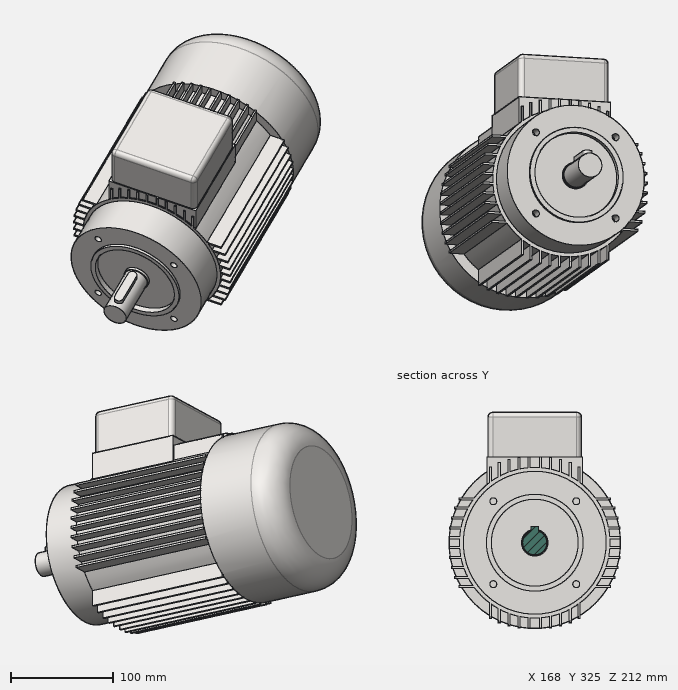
import cadquery as cq


total_length = 325.0
spigot_face = 47.0
flange_face = 50.0
housing_front = 87.8
cowl_front = 238.5

cowl_diameter = 168.0
cowl_rounding = 27.5
housing_diameter = 147.5
flange_diameter = 140.0
spigot_diameter = 95.0
spigot_recess_diameter = 85.0
spigot_recess_depth = 6.0
shaft_diameter = 24.0
collar_diameter = 26.0
collar_height = 3.0

key_width = 9.0
key_length = 40.5
key_tip_gap = 5.0
key_top = 16.0

bolt_hole_diameter = 6.8
bolt_spacing = 81.2
bolt_hole_depth = 15.0

fin_thickness = 2.0
fin_reaches = (cowl_diameter / 2, 83.5, 81.5, 78.5, 74.5)
side_fin_offsets = (5.0, 14.5, 24.5, 34.0, 43.0)
upright_fin_offsets = (5.5, 15.3, 25.0, 34.8, 43.5)

overall_height = 212.0
pedestal_size = 93.5
pedestal_setback = 1.3
pedestal_top = cowl_diameter / 2
box_size = 91.5
box_rounding = 5.0
box_top = overall_height - cowl_diameter / 2


def axial_cylinder(diameter, start, end):
    """Cylinder on the motor axis between two Y stations."""
    return (
        cq.Workplane("XZ", origin=(0, start, 0))
        .circle(diameter / 2)
        .extrude(start - end)
    )


def housing_block(width, height, center_x, center_z):
    """Rectangular bar that runs the full length of the finned housing."""
    return (
        cq.Workplane("XZ", origin=(0, housing_front, 0))
        .center(center_x, center_z)
        .rect(width, height)
        .extrude(housing_front - cowl_front)
    )


def add_fins(body):
    """Parallel fins on both sides, on top and underneath the housing."""
    for reach, offset in zip(fin_reaches, side_fin_offsets):
        for level in (-offset, offset):
            body = body.union(housing_block(2 * reach, fin_thickness, 0, level))
    for reach, offset in zip(fin_reaches, upright_fin_offsets):
        for side in (-offset, offset):
            body = body.union(housing_block(fin_thickness, 2 * reach, side, 0))
    return body


def terminal_box():
    """Rounded box on a square pedestal that is sunk into the housing."""
    center_y = housing_front + pedestal_setback + pedestal_size / 2
    pedestal = (
        cq.Workplane("XY", origin=(0, center_y, 0))
        .rect(pedestal_size, pedestal_size)
        .extrude(pedestal_top)
    )
    box = (
        cq.Workplane("XY", origin=(0, center_y, pedestal_top))
        .rect(box_size, box_size)
        .extrude(box_top - pedestal_top)
        .edges("|Z or >Z")
        .fillet(box_rounding)
    )
    return pedestal.union(box)


def shaft_key():
    """Round-ended key standing out of the top of the shaft."""
    return (
        cq.Workplane("XY", origin=(0, key_tip_gap + key_length / 2, 0))
        .slot2D(key_length, key_width, 90)
        .extrude(key_top)
    )


def bolt_holes():
    """Blind holes in a square pattern, open at the flange face."""
    return (
        cq.Workplane("XZ", origin=(0, flange_face, 0))
        .rect(bolt_spacing, bolt_spacing, forConstruction=True)
        .vertices()
        .circle(bolt_hole_diameter / 2)
        .extrude(-bolt_hole_depth)
    )


cowl = axial_cylinder(cowl_diameter, cowl_front, total_length)
cowl = cowl.faces(">Y").edges().fillet(cowl_rounding)
housing = axial_cylinder(housing_diameter, housing_front, cowl_front)
motor = add_fins(housing).union(cowl).union(terminal_box())

recess_floor = spigot_face + spigot_recess_depth
motor = motor.union(axial_cylinder(flange_diameter, flange_face, housing_front))
motor = motor.union(axial_cylinder(spigot_diameter, spigot_face, flange_face))
motor = motor.cut(axial_cylinder(spigot_recess_diameter, spigot_face, recess_floor))
motor = motor.cut(bolt_holes())

collar_face = recess_floor - collar_height
motor = motor.union(axial_cylinder(collar_diameter, collar_face, housing_front))
motor = motor.union(axial_cylinder(shaft_diameter, 0, housing_front))
result = motor.union(shaft_key())